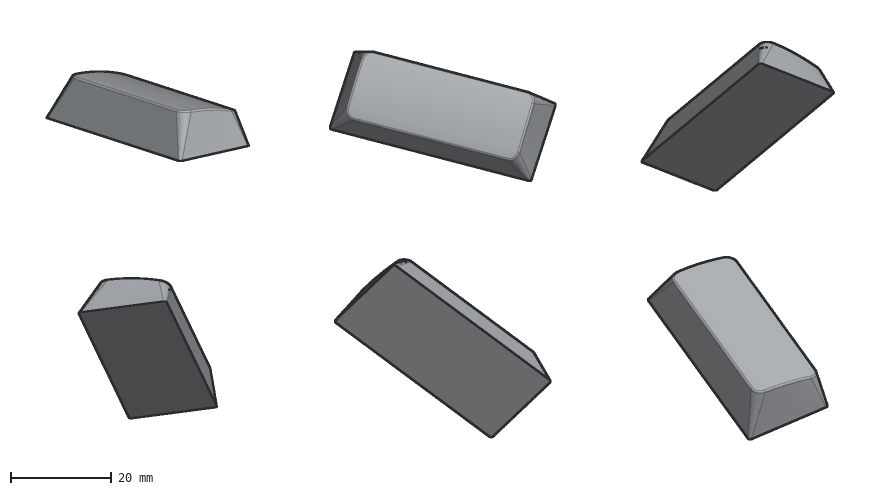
import cadquery as cq

base_length = 41.91
base_width = 18.10
base_corner_radius = 0.5

top_tilt = 10.0
top_plane_height = 8.85
top_length = 34.9
top_width = 14.43
top_shift = 1.72
top_corner_radius = 2.4
end_bulge = 0.4

overall_height = 8.92
dome_radius = 39.5
dome_axis_y = -4.8
dome_axis_height = overall_height - dome_radius

rim_fillet_radius = 0.5


def bowed_outline(length, width, bulge, corner_radius):
    """Rounded rectangle whose two short sides are arcs bowed outwards by bulge."""
    half_length = length / 2
    half_width = width / 2
    front_left = (-half_length, -half_width)
    front_right = (half_length, -half_width)
    back_right = (half_length, half_width)
    back_left = (-half_length, half_width)
    return (
        cq.Sketch()
        .segment(front_left, front_right)
        .arc(front_right, (half_length + bulge, 0), back_right)
        .segment(back_right, back_left)
        .arc(back_left, (-half_length - bulge, 0), front_left)
        .assemble()
        .vertices()
        .fillet(corner_radius)
    )


def tapered_body():
    """Walls ruled between the flat base outline and the tilted upper outline."""
    base = cq.Sketch().rect(base_length, base_width).vertices().fillet(base_corner_radius)
    top_plane = cq.Location(cq.Vector(0, 0, top_plane_height), cq.Vector(1, 0, 0), -top_tilt)
    top_centre = cq.Location(cq.Vector(0, top_shift, 0))
    top = bowed_outline(top_length, top_width, end_bulge, top_corner_radius)
    return cq.Workplane("XY").placeSketch(base, top.moved(top_plane * top_centre)).loft(ruled=True)


def dome():
    """Full cylinder along X that bounds the body from above."""
    return (
        cq.Workplane("YZ")
        .center(dome_axis_y, dome_axis_height)
        .circle(dome_radius)
        .extrude(base_length, both=True)
    )


domed_body = tapered_body().intersect(dome())

result = domed_body.faces(">Z").edges().fillet(rim_fillet_radius)